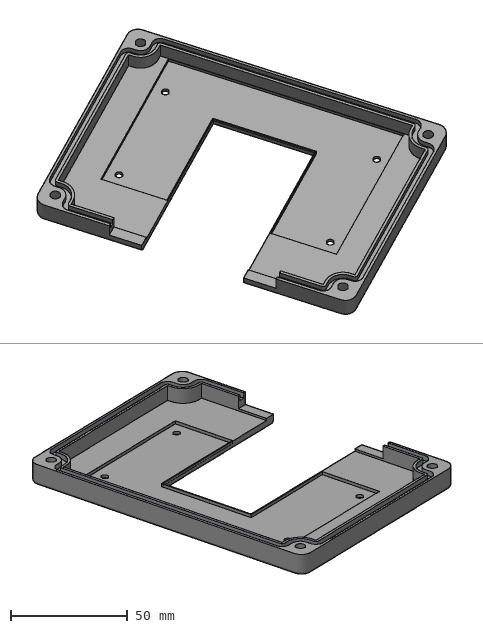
import cadquery as cq
import math

LENGTH = 148.0
WIDTH = 108.0
HEIGHT = 10.0
CORNER_RADIUS = 5.0
BOTTOM_FILLET = 1.5

WALL = 5.0
FLOOR = 3.0
GROOVE_WIDTH = 2.5
GROOVE_DEPTH = 2.5

SCREW_INSET = 7.1
SCREW_DIAMETER = 4.5
BOSS_RADIUS = 8.3

RECESS_LENGTH = 109.5
RECESS_DEPTH = 1.5
RECESS_FRONT_Y = -25.3
RECESS_BACK_SHELF = 0.1
LIP_WIDTH = 0.5
BOARD_HOLE_DIAMETER = 3.3
BOARD_HOLE_X = 49.1
BOARD_HOLE_YS = (-18.8, 32.3)

WINDOW_LENGTH = 47.4
WINDOW_BACK_Y = 24.7
WALL_GAP_LENGTH = 77.5
SILL_HEIGHT = 4.0

FRONT_Y = -WIDTH / 2
CAVITY_X = LENGTH / 2 - WALL
CAVITY_Y = WIDTH / 2 - WALL
RECESS_BACK_Y = CAVITY_Y - RECESS_BACK_SHELF
SCREW_X = LENGTH / 2 - SCREW_INSET
SCREW_Y = WIDTH / 2 - SCREW_INSET
SCREW_POINTS = [(sx * SCREW_X, sy * SCREW_Y) for sx in (-1, 1) for sy in (-1, 1)]
BOARD_HOLE_POINTS = [(sx * BOARD_HOLE_X, y) for sx in (-1, 1) for y in BOARD_HOLE_YS]


def block(length, y_front, y_back, z_bottom, z_top):
    """Box centred on X between the given Y and Z limits."""
    size_y = y_back - y_front
    size_z = z_top - z_bottom
    box = cq.Workplane("XY").box(length, size_y, size_z, centered=(True, False, False))
    return box.translate((0, y_front, z_bottom))


def cavity_outline(z):
    """Inner wall line at height z: a rectangle whose corners step in around the bosses."""
    boss_x = SCREW_X - BOSS_RADIUS
    boss_y = SCREW_Y - BOSS_RADIUS
    arc_x = SCREW_X - BOSS_RADIUS * math.sqrt(0.5)
    arc_y = SCREW_Y - BOSS_RADIUS * math.sqrt(0.5)
    corner = [
        (boss_x, CAVITY_Y),
        (boss_x, SCREW_Y),
        (arc_x, arc_y),
        (SCREW_X, boss_y),
        (CAVITY_X, boss_y),
    ]
    outline = cq.Workplane("XY", origin=(0, 0, z)).moveTo(-boss_x, CAVITY_Y)
    for sx, sy in [(1, 1), (1, -1), (-1, -1), (-1, 1)]:
        points = [(sx * x, sy * y) for x, y in corner]
        if sx != sy:
            points.reverse()
        wall_end, arc_start, arc_middle, arc_end, wall_start = points
        outline = (
            outline.lineTo(*wall_end)
            .lineTo(*arc_start)
            .threePointArc(arc_middle, arc_end)
            .lineTo(*wall_start)
        )
    return outline.close()


def tray():
    """Rounded block hollowed out down to the floor."""
    body = block(LENGTH, FRONT_Y, -FRONT_Y, 0, HEIGHT)
    body = body.edges("|Z").fillet(CORNER_RADIUS).faces("<Z").edges().fillet(BOTTOM_FILLET)
    return body.cut(cavity_outline(FLOOR).extrude(HEIGHT - FLOOR))


def seal_groove():
    """Ring in the middle of the wall top, following the inner wall line."""
    inner_offset = (WALL - GROOVE_WIDTH) / 2
    outer_offset = inner_offset + GROOVE_WIDTH
    z = HEIGHT - GROOVE_DEPTH
    outer = cavity_outline(z).offset2D(outer_offset, "arc").extrude(GROOVE_DEPTH)
    inner = cavity_outline(z).offset2D(inner_offset, "arc").extrude(GROOVE_DEPTH)
    return outer.cut(inner)


def board_recess():
    """Shallow pocket in the floor, with a thin lip around the window and a narrow shelf at the back wall."""
    z_bottom = FLOOR - RECESS_DEPTH
    pocket = block(RECESS_LENGTH, RECESS_FRONT_Y, RECESS_BACK_Y, z_bottom, FLOOR)
    lip_length = WINDOW_LENGTH + 2 * LIP_WIDTH
    lip = block(lip_length, RECESS_FRONT_Y, WINDOW_BACK_Y + LIP_WIDTH, z_bottom, FLOOR)
    return pocket.cut(lip)


def window():
    """Opening through the floor and sill, open to the front."""
    return block(WINDOW_LENGTH, FRONT_Y, WINDOW_BACK_Y, 0, SILL_HEIGHT)


def front_wall_gap():
    """Gap in the front wall above a low sill that stands higher than the floor."""
    return block(WALL_GAP_LENGTH, FRONT_Y, -CAVITY_Y, SILL_HEIGHT, HEIGHT)


def through_holes(points, diameter):
    """Full-height cylinders at the given XY points."""
    return cq.Workplane("XY").pushPoints(points).circle(diameter / 2).extrude(HEIGHT)


result = (
    tray()
    .cut(seal_groove())
    .cut(board_recess())
    .cut(window())
    .cut(front_wall_gap())
    .cut(through_holes(SCREW_POINTS, SCREW_DIAMETER))
    .cut(through_holes(BOARD_HOLE_POINTS, BOARD_HOLE_DIAMETER))
)